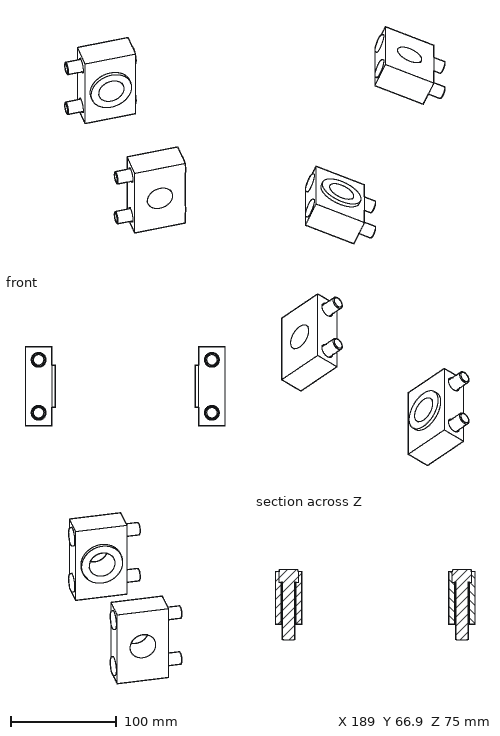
import cadquery as cq

overall_length = 189.0
block_depth = 50.0
block_width = block_depth / 2
block_height = 75.0
bore_diameter = 25.0
boss_diameter = 40.0
boss_height = 3.4

bolt_spacing = 50.0
shank_diameter = 12.1
clearance_diameter = 14.0
head_diameter = 18.0
head_height = 12.1
head_edge_radius = 1.1
head_projection = 1.9
shank_projection = 15.0
tip_chamfer_radial = 1.1
tip_chamfer_axial = 0.66

block_center_x = (overall_length - block_width) / 2
front_y = -block_depth / 2
rear_y = block_depth / 2
head_top_y = rear_y + head_projection
head_seat_y = head_top_y - head_height
tip_y = front_y - shank_projection
sides = (-1, 1)
bolt_heights = (-bolt_spacing / 2, bolt_spacing / 2)


def cylinder_along_y(diameter, start_y, end_y, x, z):
    """Cylinder with its axis parallel to Y, from start_y to the larger end_y."""
    return cq.Workplane(
        cq.Solid.makeCylinder(diameter / 2, end_y - start_y, cq.Vector(x, start_y, z), cq.Vector(0, 1, 0))
    )


def make_block(side):
    """Bearing block: bored through along X, with a round boss facing the other block."""
    center_x = side * block_center_x
    block = cq.Workplane("XY").box(block_width, block_depth, block_height).translate((center_x, 0, 0))

    inner_face_x = center_x - side * block_width / 2
    boss = cq.Workplane("YZ", origin=(inner_face_x, 0, 0)).circle(boss_diameter / 2).extrude(-side * boss_height)
    block = block.union(boss)

    bore = cq.Workplane("YZ").circle(bore_diameter / 2).extrude(side * overall_length / 2)
    block = block.cut(bore)

    for z in bolt_heights:
        block = block.cut(cylinder_along_y(clearance_diameter, front_y, rear_y, center_x, z))
        block = block.cut(cylinder_along_y(head_diameter, head_seat_y, rear_y, center_x, z))
    return block


def make_bolt(side, z):
    """Bolt along Y: rounded cylindrical head at the rear, shank with a chamfered tip at the front."""
    center_x = side * block_center_x
    head = cylinder_along_y(head_diameter, head_seat_y, head_top_y, center_x, z)
    head = head.faces(">Y").edges().fillet(head_edge_radius)
    shank = cylinder_along_y(shank_diameter, tip_y, head_seat_y, center_x, z)
    shank = shank.faces("<Y").edges().chamfer(tip_chamfer_axial, tip_chamfer_radial)
    return head.union(shank)


blocks = [make_block(side) for side in sides]
bolts = [make_bolt(side, z) for side in sides for z in bolt_heights]

result = cq.Compound.makeCompound([body.solids().val() for body in blocks + bolts])